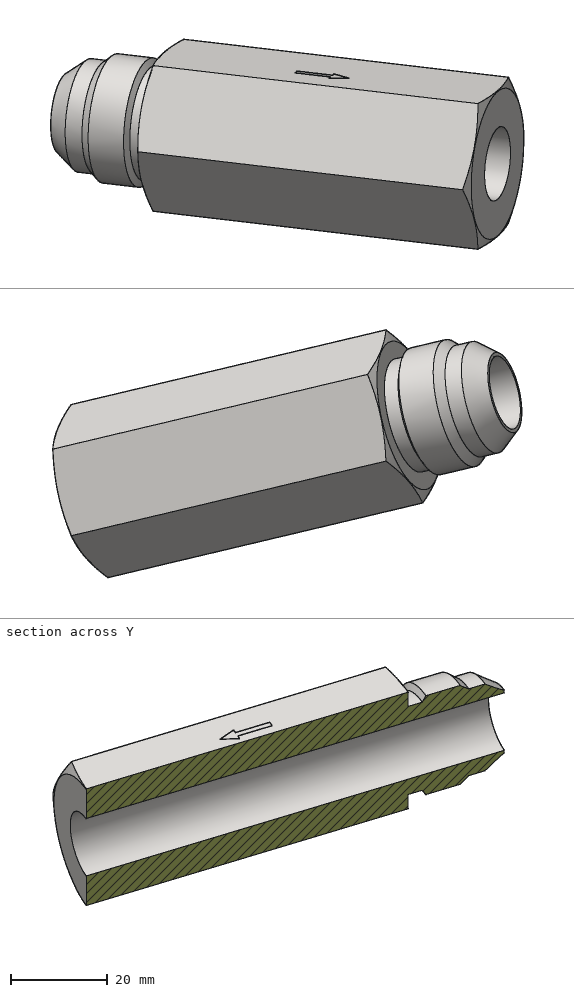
import cadquery as cq
import math

TOTAL_LENGTH = 95.25
HEX_ACROSS_FLATS = 31.75
HEX_START = 21.85
BORE_DIAMETER = 15.47

CHAMFER_FACE_DIAMETER = 31.45
CHAMFER_ANGLE = 20.0

FLARE_ANGLE = 37.0
NOSE_TIP_DIAMETER = 17.0
NECK_DIAMETER = 23.7
RELIEF_DIAMETER = 24.05
COLLAR_DIAMETER = 26.98
COLLAR_CHAMFER_START = 8.15
COLLAR_LEAD_ANGLE = 40.0
COLLAR_BACK_ANGLE = 60.0
COLLAR_BACK_EDGE = 17.9

ARROW_TAIL_X = 51.9
ARROW_HEAD_X = 59.7
ARROW_TIP_X = 63.5
ARROW_CENTER_Y = -2.7
ARROW_SHAFT_WIDTH = 1.2
ARROW_HEAD_WIDTH = 3.0
ARROW_DEPTH = 0.1


def cone_length(small_diameter, large_diameter, angle):
    """Axial length of a cone whose side makes the given angle with the axis."""
    rise = (large_diameter - small_diameter) / 2
    return rise / math.tan(math.radians(angle))


def revolve_about_x(profile_points):
    """Solid of revolution from (axial position, radius) points."""
    profile = cq.Workplane("XY").polyline(profile_points).close()
    return profile.revolve(360, (0, 0, 0), (1, 0, 0))


def make_hex_body():
    """Hexagonal bar with flats at top and bottom and turned corners at both ends."""
    across_corners = HEX_ACROSS_FLATS / math.cos(math.radians(30))
    length = TOTAL_LENGTH - HEX_START
    hexagon = (
        cq.Workplane("YZ", origin=(HEX_START, 0, 0))
        .polygon(6, across_corners)
        .extrude(length)
    )

    corner_radius = across_corners / 2
    face_radius = CHAMFER_FACE_DIAMETER / 2
    chamfer_length = (corner_radius - face_radius) * math.tan(math.radians(CHAMFER_ANGLE))
    turned_envelope = revolve_about_x([
        (HEX_START, 0),
        (HEX_START, face_radius),
        (HEX_START + chamfer_length, corner_radius),
        (TOTAL_LENGTH - chamfer_length, corner_radius),
        (TOTAL_LENGTH, face_radius),
        (TOTAL_LENGTH, 0),
    ])
    return hexagon.intersect(turned_envelope)


def make_tube_end():
    """Flare nose, neck, chamfered collar and relief, ending at the hexagon."""
    nose_end = cone_length(NOSE_TIP_DIAMETER, NECK_DIAMETER, FLARE_ANGLE)
    collar_front_edge = COLLAR_CHAMFER_START + cone_length(
        NECK_DIAMETER, COLLAR_DIAMETER, COLLAR_LEAD_ANGLE
    )
    relief_start = COLLAR_BACK_EDGE + cone_length(
        RELIEF_DIAMETER, COLLAR_DIAMETER, COLLAR_BACK_ANGLE
    )
    return revolve_about_x([
        (0, 0),
        (0, NOSE_TIP_DIAMETER / 2),
        (nose_end, NECK_DIAMETER / 2),
        (COLLAR_CHAMFER_START, NECK_DIAMETER / 2),
        (collar_front_edge, COLLAR_DIAMETER / 2),
        (COLLAR_BACK_EDGE, COLLAR_DIAMETER / 2),
        (relief_start, RELIEF_DIAMETER / 2),
        (HEX_START, RELIEF_DIAMETER / 2),
        (HEX_START, 0),
    ])


def make_bore():
    """Straight flow passage through the whole length."""
    return cq.Workplane("YZ").circle(BORE_DIAMETER / 2).extrude(TOTAL_LENGTH)


def make_flow_arrow():
    """Shallow arrow-shaped cutter pointing along +X, just below the top flat."""
    half_shaft = ARROW_SHAFT_WIDTH / 2
    half_head = ARROW_HEAD_WIDTH / 2
    top_flat_z = HEX_ACROSS_FLATS / 2
    outline = [
        (ARROW_TAIL_X, -half_shaft),
        (ARROW_HEAD_X, -half_shaft),
        (ARROW_HEAD_X, -half_head),
        (ARROW_TIP_X, 0),
        (ARROW_HEAD_X, half_head),
        (ARROW_HEAD_X, half_shaft),
        (ARROW_TAIL_X, half_shaft),
    ]
    return (
        cq.Workplane("XY", origin=(0, ARROW_CENTER_Y, top_flat_z))
        .polyline(outline)
        .close()
        .extrude(-ARROW_DEPTH)
    )


result = make_hex_body().union(make_tube_end()).cut(make_bore()).cut(make_flow_arrow())